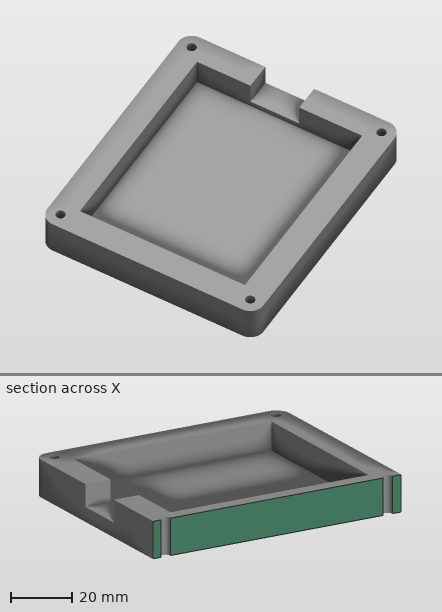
import cadquery as cq

length_x = 81.9
length_y = 93.8
height = 13.0
corner_radius = 5.0

pocket_x = 62.6
pocket_y = 74.9
pocket_depth = 10.0

notch_width = 18.5
notch_depth = 7.9
notch_center_x = -1.8

hole_diameter = 3.4
hole_spacing_x = length_x - 2 * corner_radius
hole_spacing_y = length_y - 2 * corner_radius


def make_block():
    """Flat block with rounded vertical corners, its base on Z = 0."""
    block = cq.Workplane("XY").box(length_x, length_y, height, centered=(True, True, False))
    return block.edges("|Z").fillet(corner_radius)


def cut_pocket(body):
    """Sink the centred rectangular pocket from the top face."""
    return body.faces(">Z").workplane(origin=(0, 0, height)).rect(pocket_x, pocket_y).cutBlind(-pocket_depth)


def cut_notch(body):
    """Open the +Y wall from the pocket to the outside, leaving a low sill."""
    wall_thickness = (length_y - pocket_y) / 2
    notch = cq.Workplane("XY").box(notch_width, wall_thickness, notch_depth, centered=(True, False, False))
    return body.cut(notch.translate((notch_center_x, pocket_y / 2, height - notch_depth)))


def cut_screw_holes(body):
    """Drill a through hole at each rounded corner."""
    holes = (
        cq.Workplane("XY")
        .rect(hole_spacing_x, hole_spacing_y, forConstruction=True)
        .vertices()
        .circle(hole_diameter / 2)
        .extrude(height)
    )
    return body.cut(holes)


result = cut_screw_holes(cut_notch(cut_pocket(make_block())))